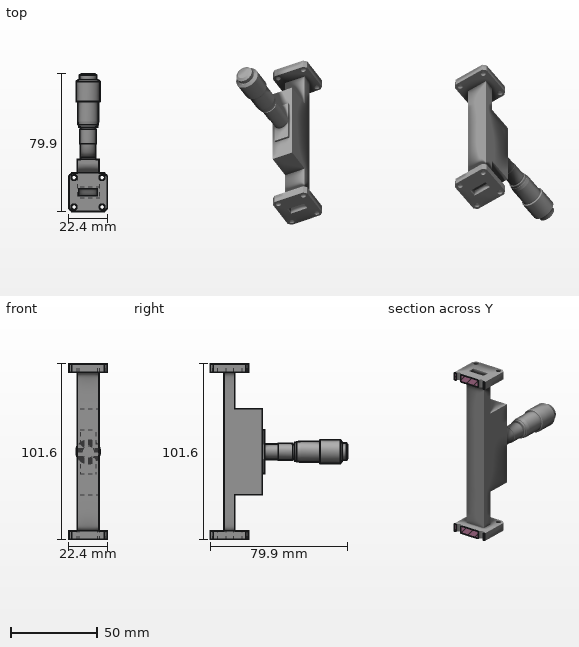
import cadquery as cq

overall_length = 101.6
flange_size = 22.4
flange_thickness = 4.9
flange_corner_chamfer = 1.8
bolt_spacing_x = 16.3
bolt_spacing_y = 17.1
bolt_hole_diameter = 3.0
aperture_width = 10.7
aperture_height = 4.3
bar_width = 12.7
bar_depth = 6.4

block_length = 50.0
block_back_y = 19.1

plate_length = 25.5
plate_width = 8.9
plate_thickness = 1.3
stem_diameter = 9.1
plate_back_y = block_back_y + plate_thickness

sleeve_start_y = 28.2
groove_start_y = 36.6
thimble_start_y = 37.7
lip_end_y = 39.0
taper_end_y = 41.1
grip_start_y = 52.4
grip_end_y = 65.3
knob_end_y = 68.7
grip_front_chamfer = 0.3
grip_back_chamfer_length = 1.2
knob_chamfer_length = 0.9

sleeve_radius = 4.9
groove_radius = 4.3
lip_radius = 5.5
taper_small_radius = 5.8
thimble_radius = 6.1
grip_radius = 7.0
grip_back_radius = 5.5
knob_radius = 5.1
knob_end_radius = 3.6


def make_flange(bottom_z):
    """Square flange with chamfered corners and four bolt holes."""
    return (
        cq.Workplane("XY", origin=(0, 0, bottom_z))
        .rect(flange_size, flange_size)
        .extrude(flange_thickness)
        .edges("|Z")
        .chamfer(flange_corner_chamfer)
        .faces(">Z")
        .workplane(origin=(0, 0, 0))
        .rect(bolt_spacing_x, bolt_spacing_y, forConstruction=True)
        .vertices()
        .hole(bolt_hole_diameter)
        .cut(
            cq.Workplane("XY", origin=(0, 0, bottom_z))
            .rect(aperture_width, aperture_height)
            .extrude(flange_thickness)
        )
    )


def make_housing():
    """Waveguide bar, block and both flanges, with a blind aperture in each end."""
    bar_length = overall_length - 2 * flange_thickness
    bar = cq.Workplane("XY").box(bar_width, bar_depth, bar_length)
    block_front_y = -bar_depth / 2
    block_depth = block_back_y - block_front_y
    block = cq.Workplane("XY").box(bar_width, block_depth, block_length)
    block = block.translate((0, block_front_y + block_depth / 2, 0))
    housing = bar.union(block)
    for bottom_z in (-overall_length / 2, overall_length / 2 - flange_thickness):
        housing = housing.union(make_flange(bottom_z))
    return housing


def make_mount():
    """Plate lying on the block, with the stem that carries the micrometer."""
    plate = cq.Workplane("XY").box(plate_width, plate_thickness, plate_length)
    plate = plate.translate((0, block_back_y + plate_thickness / 2, 0))
    stem = (
        cq.Workplane("XZ", origin=(0, plate_back_y, 0))
        .circle(stem_diameter / 2)
        .extrude(plate_back_y - sleeve_start_y)
    )
    return plate.union(stem)


def make_micrometer():
    """Sleeve, groove, thimble, grip and end knob, turned about the Y axis."""
    profile = [
        (0, sleeve_start_y),
        (sleeve_radius, sleeve_start_y),
        (sleeve_radius, groove_start_y),
        (groove_radius, groove_start_y),
        (groove_radius, thimble_start_y),
        (lip_radius, thimble_start_y),
        (lip_radius, lip_end_y),
        (taper_small_radius, lip_end_y),
        (thimble_radius, taper_end_y),
        (thimble_radius, grip_start_y),
        (grip_radius - grip_front_chamfer, grip_start_y),
        (grip_radius, grip_start_y + grip_front_chamfer),
        (grip_radius, grip_end_y - grip_back_chamfer_length),
        (grip_back_radius, grip_end_y),
        (knob_radius, grip_end_y),
        (knob_radius, knob_end_y - knob_chamfer_length),
        (knob_end_radius, knob_end_y),
        (0, knob_end_y),
    ]
    return cq.Workplane("XY").polyline(profile).close().revolve(360, (0, 0), (0, 1))


housing = make_housing()
mount = make_mount()
micrometer = make_micrometer()

result = cq.Compound.makeCompound([housing.val(), mount.val(), micrometer.val()])